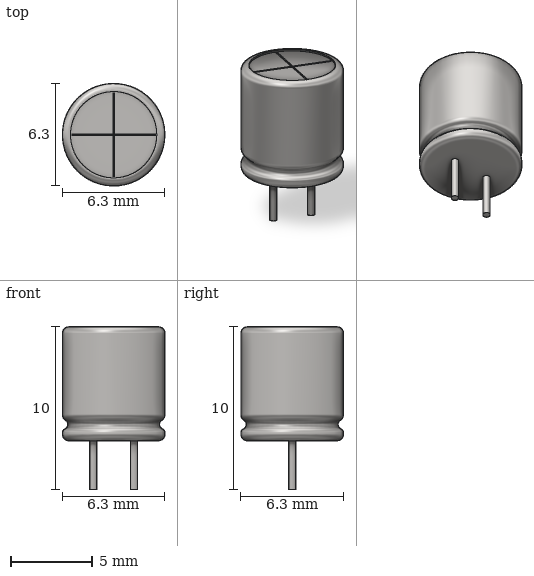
import cadquery as cq
import math

total_height = 10.0
lead_length = 3.0
can_radius = 6.3 / 2
edge_radius = 0.4

bead_flat_bottom = lead_length + edge_radius
bead_flat_top = 3.5

barrel_bottom = 4.6
neck_radius = 2.82
groove_radius = 0.3

recess_diameter = 5.3
recess_depth = 0.1
score_width = 0.1
score_depth = score_width / 2
score_floor_length = 5.02

lead_diameter = 0.45
lead_pitch = 2.5
lead_embed = 0.1


def arc_point(centre, radius, angle):
    """Point (radius, height) on a profile arc, at an angle above horizontal."""
    return (
        centre[0] + radius * math.cos(angle),
        centre[1] + radius * math.sin(angle),
    )


def make_can():
    eighth = math.pi / 4
    end_radius = can_radius - edge_radius
    top_flat = total_height - edge_radius
    foot_centre = (end_radius, bead_flat_bottom)
    barrel_centre = (end_radius, barrel_bottom)
    top_centre = (end_radius, top_flat)

    groove_centre_radius = neck_radius + groove_radius
    barrel_reach = groove_centre_radius - end_radius
    barrel_angle = -math.acos(barrel_reach / (edge_radius + groove_radius))
    groove_height = barrel_bottom + barrel_reach * math.tan(barrel_angle)

    bead_rise = groove_height - bead_flat_top
    groove_depth = can_radius - neck_radius
    wall_offset = groove_centre_radius - can_radius
    bead_top_radius = (wall_offset**2 + bead_rise**2 - groove_radius**2) / (2 * groove_depth)
    bead_centre = (can_radius - bead_top_radius, bead_flat_top)
    bead_angle = math.atan2(bead_rise, groove_centre_radius - bead_centre[0])

    profile = (
        cq.Workplane("XZ")
        .moveTo(0, lead_length)
        .lineTo(end_radius, lead_length)
        .threePointArc(
            arc_point(foot_centre, edge_radius, -eighth),
            (can_radius, bead_flat_bottom),
        )
        .lineTo(can_radius, bead_flat_top)
        .threePointArc(
            arc_point(bead_centre, bead_top_radius, bead_angle / 2),
            arc_point(bead_centre, bead_top_radius, bead_angle),
        )
        .threePointArc(
            (neck_radius, groove_height),
            arc_point(barrel_centre, edge_radius, barrel_angle),
        )
        .threePointArc(
            arc_point(barrel_centre, edge_radius, barrel_angle / 2),
            (can_radius, barrel_bottom),
        )
        .lineTo(can_radius, top_flat)
        .threePointArc(
            arc_point(top_centre, edge_radius, eighth),
            (end_radius, total_height),
        )
        .lineTo(0, total_height)
        .close()
    )
    return profile.revolve(360, (0, 0, 0), (0, 1, 0))


def make_score(panel_height):
    """V-groove cutter along X with sloped ends, its open side at panel_height."""
    half_floor = score_floor_length / 2
    half_length = half_floor + score_depth
    half_width = score_width / 2
    origin = (0, 0, panel_height)
    section = (
        cq.Workplane("YZ", origin=origin)
        .polyline([(-half_width, 0), (half_width, 0), (0, -score_depth)])
        .close()
        .extrude(half_length, both=True)
    )
    side = (
        cq.Workplane("XZ", origin=origin)
        .polyline([
            (-half_length, 0),
            (half_length, 0),
            (half_floor, -score_depth),
            (-half_floor, -score_depth),
        ])
        .close()
        .extrude(half_width, both=True)
    )
    return section.intersect(side)


def cut_top(can):
    """Sink the round top panel and score the vent cross into it."""
    panel_height = total_height - recess_depth
    recess = (
        cq.Workplane("XY", origin=(0, 0, panel_height))
        .circle(recess_diameter / 2)
        .extrude(recess_depth)
    )
    can = can.cut(recess)
    score = make_score(panel_height)
    for angle in (0, 90):
        can = can.cut(score.rotate((0, 0, 0), (0, 0, 1), angle))
    return can


def make_leads():
    return (
        cq.Workplane("XY")
        .pushPoints([(-lead_pitch / 2, 0), (lead_pitch / 2, 0)])
        .circle(lead_diameter / 2)
        .extrude(lead_length + lead_embed)
    )


result = cut_top(make_can()).union(make_leads())